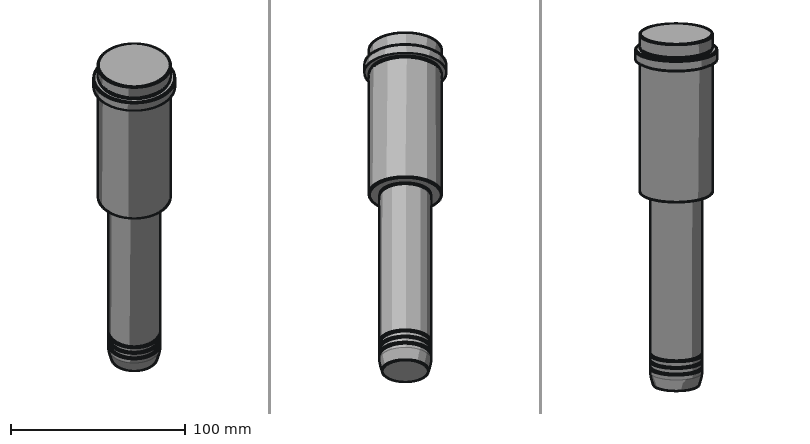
import cadquery as cq

total_length = 210.0
head_length = 8.0
neck_width = 1.3
flange_thickness = 5.9
sleeve_length = 95.0

flange_diameter = 47.0
sleeve_diameter = 42.0
neck_diameter = 40.7
pin_diameter = 30.0
tip_diameter = 26.9

edge_chamfer = 0.6
tip_length = 7.4
tip_bulge = 0.2
tip_chamfer = 0.5

relief_width = 1.0
relief_depth = 0.2

groove_count = 3
first_groove_height = 10.5
groove_pitch = 4.0
groove_width = 1.0
groove_depth = 0.5


def cylinder(diameter, bottom, top):
    return cq.Workplane("XY").workplane(offset=bottom).circle(diameter / 2).extrude(top - bottom)


def ring(outer_diameter, inner_diameter, bottom, height):
    """Annular cutter for a groove around the Z axis."""
    outer = cylinder(outer_diameter, bottom, bottom + height)
    return outer.cut(cylinder(inner_diameter, bottom, bottom + height))


def pin(top):
    """Straight pin with a slightly rounded, tapering tip."""
    pin_radius = pin_diameter / 2
    tip_radius = tip_diameter / 2
    middle_radius = (pin_radius + tip_radius) / 2 + tip_bulge
    profile = (
        cq.Workplane("XZ")
        .moveTo(0, 0)
        .lineTo(tip_radius - tip_chamfer, 0)
        .lineTo(tip_radius, tip_chamfer)
        .threePointArc((middle_radius, (tip_length + tip_chamfer) / 2), (pin_radius, tip_length))
        .lineTo(pin_radius, top)
        .lineTo(0, top)
        .close()
    )
    return profile.revolve(360, (0, 0, 0), (0, 1, 0))


sleeve_bottom = total_length - sleeve_length
head_bottom = total_length - head_length
flange_top = head_bottom - neck_width
flange_bottom = flange_top - flange_thickness
sleeve_top = flange_bottom - neck_width

sleeve = cylinder(sleeve_diameter, sleeve_bottom, sleeve_top).faces("<Z").chamfer(edge_chamfer)
neck = cylinder(neck_diameter, sleeve_top, head_bottom)
flange = cylinder(flange_diameter, flange_bottom, flange_top).faces(">Z").edges().chamfer(edge_chamfer)
head = cylinder(sleeve_diameter, head_bottom, total_length).faces(">Z").chamfer(edge_chamfer)

result = pin(sleeve_bottom).union(sleeve).union(neck).union(flange).union(head)

relief_floor = pin_diameter - 2 * relief_depth
relief_bottom = sleeve_bottom - relief_width
result = result.cut(ring(flange_diameter, relief_floor, relief_bottom, relief_width))

for index in range(groove_count):
    groove_bottom = first_groove_height + index * groove_pitch - groove_width / 2
    groove_floor = pin_diameter - 2 * groove_depth
    result = result.cut(ring(flange_diameter, groove_floor, groove_bottom, groove_width))